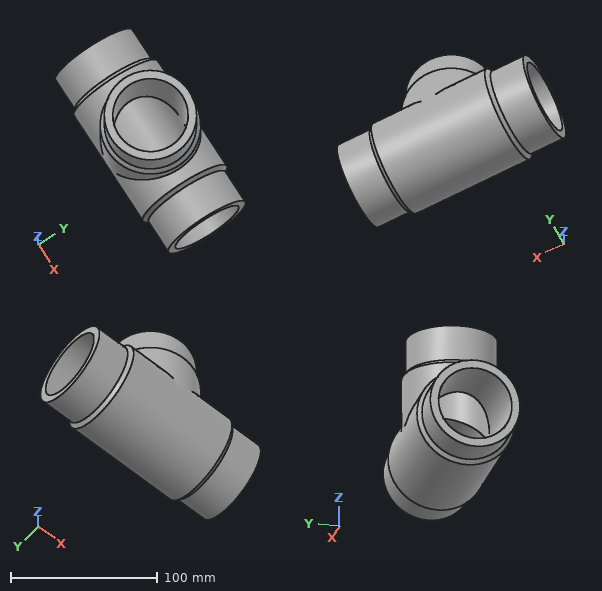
import cadquery as cq

run_length = 144.0
arm_length = run_length / 2
spigot_length = 25.2
body_diameter = 68.8
spigot_diameter = 63.0
bore_diameter = 51.4

body_reach = arm_length - spigot_length
shoulder = (body_diameter - spigot_diameter) / 2


arm_profile = [
    (0, 0),
    (body_diameter / 2, 0),
    (body_diameter / 2, body_reach - shoulder),
    (spigot_diameter / 2, body_reach),
    (spigot_diameter / 2, arm_length),
    (0, arm_length),
]


def make_run():
    """Solid run along X, the arm section mirrored about the tee centre."""
    half_section = [(distance, radius) for radius, distance in arm_profile[2:]]
    mirrored_section = [(-distance, radius) for distance, radius in reversed(half_section)]
    section = cq.Workplane("XY").polyline(half_section + mirrored_section).close()
    return section.revolve(360, (0, 0, 0), (1, 0, 0))


def make_branch():
    """Solid branch rising along Z from the tee centre."""
    return cq.Workplane("XZ").polyline(arm_profile).close().revolve(360, (0, 0, 0), (0, 1, 0))


def make_bores():
    """Through bore of the run joined by the branch bore."""
    bore_radius = bore_diameter / 2
    run_bore = cq.Workplane("YZ").circle(bore_radius).extrude(arm_length, both=True)
    branch_bore = cq.Workplane("XY").circle(bore_radius).extrude(arm_length)
    return run_bore.union(branch_bore)


result = make_run().union(make_branch()).cut(make_bores())